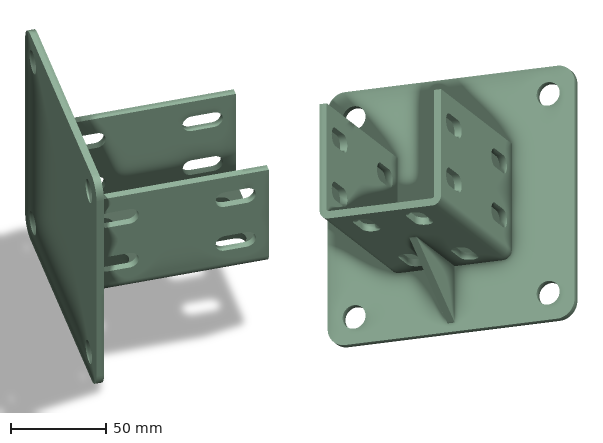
import cadquery as cq

plate_side = 140.0
sheet = 4.0
plate_corner_radius = 10.0
hole_diameter = 13.0
hole_spacing = 110.0

total_depth = 104.0
channel_length = total_depth - sheet
channel_width = 68.9
channel_top = 30.0
channel_bottom = -33.9
bend_inner_radius = 1.0
bend_outer_radius = bend_inner_radius + sheet

slot_length = 22.0
slot_width = 10.0
slot_row_spacing = 30.0
slot_pitch = 64.0
slot_end_margin = 18.0

gusset_length = 54.0
gusset_height = 31.2

plate_back = sheet
channel_end = total_depth
slot_pattern_y = channel_end - slot_end_margin - slot_pitch / 2


def make_plate():
    plate = (
        cq.Workplane("XZ")
        .rect(plate_side, plate_side)
        .extrude(-sheet)
        .edges("|Y")
        .fillet(plate_corner_radius)
    )
    holes = (
        cq.Workplane("XZ")
        .rect(hole_spacing, hole_spacing, forConstruction=True)
        .vertices()
        .circle(hole_diameter / 2)
        .extrude(-sheet)
    )
    return plate.cut(holes)


def rounded_trough(width, floor_z, radius):
    """Solid block along the channel with its two lower edges rounded."""
    height = channel_top - floor_z
    return (
        cq.Workplane("XY")
        .box(width, channel_length, height, centered=(True, False, False))
        .translate((0, plate_back, floor_z))
        .edges("|Y and <Z")
        .fillet(radius)
    )


def slot_cutters(plane, depth):
    """Four slots along Y, cut symmetrically to both sides of the plane."""
    return (
        plane.rarray(slot_row_spacing, slot_pitch, 2, 2)
        .slot2D(slot_length, slot_width, 90)
        .extrude(depth, both=True)
    )


def make_channel():
    outside = rounded_trough(channel_width, channel_bottom, bend_outer_radius)
    inside = rounded_trough(
        channel_width - 2 * sheet, channel_bottom + sheet, bend_inner_radius
    )
    floor_plane = cq.Workplane("XY", origin=(0, slot_pattern_y, channel_bottom))
    wall_plane = cq.Workplane(
        cq.Plane(origin=(0, slot_pattern_y, 0), xDir=(0, 0, 1), normal=(-1, 0, 0))
    )
    return (
        outside.cut(inside)
        .cut(slot_cutters(floor_plane, 2 * sheet))
        .cut(slot_cutters(wall_plane, channel_width))
    )


def make_gusset():
    floor_middle = channel_bottom + sheet / 2
    return (
        cq.Workplane("YZ")
        .moveTo(plate_back, floor_middle)
        .lineTo(plate_back, channel_bottom - gusset_height)
        .lineTo(plate_back + gusset_length, channel_bottom)
        .lineTo(plate_back + gusset_length, floor_middle)
        .close()
        .extrude(sheet / 2, both=True)
    )


result = make_plate().union(make_channel()).union(make_gusset())